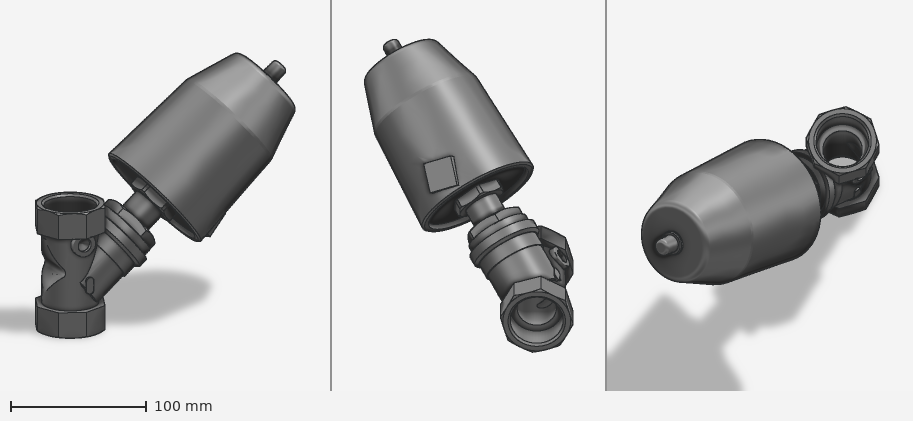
import cadquery as cq
import math


BODY_LENGTH = 97.0
END_LENGTH = 20.0
END_ACROSS_FLATS = 50.0
END_SIDES = 8
END_CHAMFER_ANGLE = 30.0
PIPE_RADIUS = 21.1
BORE_RADIUS = 29.0 / 2
THREAD_RADIUS = 38.95 / 2
THREAD_DEPTH = 20.0
THREAD_CHAMFER = 1.7
THREAD_CHAMFER_ANGLE = 45.0

WAIST_DEPTH_Y = -12.4
WAIST_LOWER_Z = 29.8
WAIST_UPPER_Z = 72.3
WAIST_UPPER_START_Y = -21.0
WAIST_UPPER_RADIUS = 30.5
WAIST_ROOT_LOW_Z = 46.1
WAIST_ROOT_HIGH_Z = 52.4
WAIST_WALL = 1.0

LUG_RADIUS = 18.2 / 2
LUG_REACH = 24.0
LUG_FILLET = 0.5
LUG_Z = 71.2
LUG_HOLE_RADIUS = 5.3
LUG_HOLE_DEPTH = 3.0
DRILL_POINT_ANGLE = 118.0

PAD_Y = 4.9
PAD_Z = 38.6
PAD_LENGTH = 13.0
PAD_WIDTH = 6.2
PAD_REACH = 23.3

AXIS_Z = 32.2
AXIS_ELEVATION = 40.0

NECK_START = 3.5
NECK_STEP = 33.3
FLANGE_START = 44.0
FLANGE_END = 53.3
RING_END = 60.3
BONNET_HEX_END = 68.2
LOCKNUT_START = 85.2
HOUSING_START = 89.7
SHOULDER = 170.7
HOUSING_END = 211.7
COLLAR_END = 214.0
PIN_END = 227.0

NECK_RADIUS = 22.8
NECK_END_CHAMFER = 0.8
NECK_COLLAR_RADIUS = 24.0
FLANGE_RADIUS = 27.06
FLANGE_CHAMFER = 2.2
RING_RADIUS = 48.0 / 2
BONNET_ACROSS_FLATS = 41.0
BONNET_CORNER_RADIUS = BONNET_ACROSS_FLATS / math.sqrt(3)
STEM_RADIUS = 26.0 / 2
LOCKNUT_ACROSS_FLATS = 36.0
LOCKNUT_CORNER_RADIUS = 20.0
HEX_SIDES = 6
HEX_CHAMFER_ANGLE = 30.0

HOUSING_BASE_RADIUS = 46.83
HOUSING_RIM_RADIUS = 45.3
HOUSING_RIM_HEIGHT = 1.3
RECESS_MOUTH_RADIUS = 41.9
RECESS_FLOOR_RADIUS = 81.7 / 2
RECESS_DEPTH = 3.6
SHOULDER_RADIUS = 43.1
SHOULDER_BLEND = 9.0
HOUSING_TOP_RADIUS = 30.2
HOUSING_TOP_FILLET = 5.7

COLLAR_RADIUS = 18.2 / 2
COLLAR_CHAMFER = 0.8
PIN_BASE_RADIUS = 6.6
PIN_TIP_RADIUS = 6.1
PIN_TIP_FILLET = 2.8

PORT_POSITION = 107.0
PORT_SIDE = 22.3
PORT_ROTATION = 18.0
PORT_REACH = 49.4
PORT_ROOT = 42.0


def cylinder(radius, start, end):
    return cq.Workplane("XY").workplane(offset=start).circle(radius).extrude(end - start)


def chamfered_prism(sides, across_flats, length, corner_radius, chamfer_angle):
    """Regular prism on Z = 0 with its corners trimmed round and its top edge cone-chamfered."""
    corner = across_flats / 2 / math.cos(math.pi / sides)
    prism = cq.Workplane("XY").polygon(sides, 2 * corner).extrude(length)
    flat_radius = across_flats / 2
    drop = (corner_radius - flat_radius) * math.tan(math.radians(chamfer_angle))
    envelope = (
        cq.Workplane("XZ")
        .polyline(
            [
                (0, 0),
                (corner_radius, 0),
                (corner_radius, length - drop),
                (flat_radius, length),
                (0, length),
            ]
        )
        .close()
        .revolve(360, (0, 0), (0, 1))
    )
    return prism.intersect(envelope)


def body_end():
    """Octagonal end standing on Z = 0 with its chamfered outer face on top."""
    corner_radius = END_ACROSS_FLATS / 2 / math.cos(math.pi / END_SIDES)
    return chamfered_prism(END_SIDES, END_ACROSS_FLATS, END_LENGTH, corner_radius, END_CHAMFER_ANGLE)


def waist_outline():
    """Outline of the hollow in the -Y side: two convex flanks and a rounded root."""
    outside_y = -2 * PIPE_RADIUS

    def lower_y(z):
        return -math.sqrt(PIPE_RADIUS**2 - (z - WAIST_LOWER_Z) ** 2)

    def upper_y(z):
        centre_y = WAIST_UPPER_START_Y + WAIST_UPPER_RADIUS
        return centre_y - math.sqrt(WAIST_UPPER_RADIUS**2 - (WAIST_UPPER_Z - z) ** 2)

    lower_mid_z = (WAIST_LOWER_Z + WAIST_ROOT_LOW_Z) / 2
    root_mid_z = (WAIST_ROOT_LOW_Z + WAIST_ROOT_HIGH_Z) / 2
    upper_mid_z = (WAIST_ROOT_HIGH_Z + WAIST_UPPER_Z) / 2
    return (
        cq.Workplane("YZ")
        .moveTo(outside_y, WAIST_LOWER_Z)
        .lineTo(lower_y(WAIST_LOWER_Z), WAIST_LOWER_Z)
        .threePointArc(
            (lower_y(lower_mid_z), lower_mid_z),
            (lower_y(WAIST_ROOT_LOW_Z), WAIST_ROOT_LOW_Z),
        )
        .threePointArc(
            (WAIST_DEPTH_Y, root_mid_z),
            (upper_y(WAIST_ROOT_HIGH_Z), WAIST_ROOT_HIGH_Z),
        )
        .threePointArc(
            (upper_y(upper_mid_z), upper_mid_z),
            (WAIST_UPPER_START_Y, WAIST_UPPER_Z),
        )
        .lineTo(outside_y, WAIST_UPPER_Z)
        .close()
    )


def waist_prism(wall=0.0):
    """Waist hollow as a prism along X, enlarged by a wall thickness when one is given."""
    outline = waist_outline()
    if wall:
        outline = outline.offset2D(wall)
    return outline.extrude(PIPE_RADIUS, both=True)


def lug(side):
    boss = cq.Workplane("YZ").center(0, LUG_Z).circle(LUG_RADIUS).extrude(side * LUG_REACH)
    outer_face = ">X" if side > 0 else "<X"
    return boss.faces(outer_face).edges().fillet(LUG_FILLET)


def lug_hole(side):
    """Blind hole with a drill point, entering from the face of one lug."""
    point_depth = LUG_HOLE_RADIUS / math.tan(math.radians(DRILL_POINT_ANGLE / 2))
    floor = LUG_REACH - LUG_HOLE_DEPTH
    return (
        cq.Workplane("XZ")
        .polyline(
            [
                (side * (floor - point_depth), LUG_Z),
                (side * floor, LUG_Z + LUG_HOLE_RADIUS),
                (side * LUG_REACH, LUG_Z + LUG_HOLE_RADIUS),
                (side * LUG_REACH, LUG_Z),
            ]
        )
        .close()
        .revolve(360, (0, LUG_Z), (1, LUG_Z))
    )


def oval_pad(side):
    return (
        cq.Workplane("YZ")
        .center(PAD_Y, PAD_Z)
        .slot2D(PAD_LENGTH, PAD_WIDTH, 90)
        .extrude(side * PAD_REACH)
    )


def passage():
    """Straight bore, kept clear of the waist, with a threaded socket at each end."""
    bore = cylinder(BORE_RADIUS, 0, BODY_LENGTH).cut(waist_prism(WAIST_WALL))
    socket = (
        cq.Workplane("XY")
        .circle(THREAD_RADIUS)
        .extrude(THREAD_DEPTH)
        .union(
            cq.Workplane("XY")
            .circle(THREAD_RADIUS + THREAD_CHAMFER)
            .extrude(THREAD_CHAMFER, taper=THREAD_CHAMFER_ANGLE)
        )
    )
    upper_socket = socket.mirror("XY").translate((0, 0, BODY_LENGTH))
    return bore.union(socket).union(upper_socket)


def neck_and_bonnet():
    """Branch neck, clamping flange and bonnet nut, along +Z from the pipe axis."""
    turned = (
        cq.Workplane("YZ")
        .polyline(
            [
                (0, NECK_START),
                (NECK_RADIUS - NECK_END_CHAMFER, NECK_START),
                (NECK_RADIUS, NECK_START + NECK_END_CHAMFER),
                (NECK_RADIUS, NECK_STEP),
                (NECK_COLLAR_RADIUS, NECK_STEP),
                (NECK_COLLAR_RADIUS, FLANGE_START),
                (FLANGE_RADIUS - FLANGE_CHAMFER, FLANGE_START),
                (FLANGE_RADIUS, FLANGE_START + FLANGE_CHAMFER),
                (FLANGE_RADIUS, FLANGE_END),
                (RING_RADIUS, FLANGE_END),
                (RING_RADIUS, RING_END),
                (0, RING_END),
            ]
        )
        .close()
        .revolve(360, (0, 0), (0, 1))
    )
    nut = chamfered_prism(
        HEX_SIDES,
        BONNET_ACROSS_FLATS,
        BONNET_HEX_END - RING_END,
        BONNET_CORNER_RADIUS,
        HEX_CHAMFER_ANGLE,
    )
    return turned.union(nut.translate((0, 0, RING_END)))


def stem_and_locknut():
    recess_floor = HOUSING_START + RECESS_DEPTH
    stem = cylinder(STEM_RADIUS, RING_END, recess_floor)
    locknut = chamfered_prism(
        HEX_SIDES,
        LOCKNUT_ACROSS_FLATS,
        recess_floor - LOCKNUT_START,
        LOCKNUT_CORNER_RADIUS,
        HEX_CHAMFER_ANGLE,
    )
    return stem.union(locknut.mirror("XY").translate((0, 0, recess_floor)))


def housing():
    """Two-cone actuator housing with a blended shoulder, rounded top and recessed base."""
    shell = (
        cq.Workplane("YZ")
        .polyline(
            [
                (0, HOUSING_START),
                (HOUSING_RIM_RADIUS, HOUSING_START),
                (HOUSING_BASE_RADIUS, HOUSING_START + HOUSING_RIM_HEIGHT),
                (SHOULDER_RADIUS, SHOULDER),
                (HOUSING_TOP_RADIUS, HOUSING_END),
                (0, HOUSING_END),
            ]
        )
        .close()
        .revolve(360, (0, 0), (0, 1))
    )
    shoulder_edge = cq.selectors.BoxSelector(
        (-HOUSING_BASE_RADIUS, -HOUSING_BASE_RADIUS, (HOUSING_START + SHOULDER) / 2),
        (HOUSING_BASE_RADIUS, HOUSING_BASE_RADIUS, (SHOULDER + HOUSING_END) / 2),
        boundingbox=True,
    )
    shell = shell.edges(">Z").fillet(HOUSING_TOP_FILLET)
    shell = shell.edges(shoulder_edge).fillet(SHOULDER_BLEND)
    recess = (
        cq.Workplane("XY")
        .workplane(offset=HOUSING_START)
        .circle(RECESS_MOUTH_RADIUS)
        .workplane(offset=RECESS_DEPTH)
        .circle(RECESS_FLOOR_RADIUS)
        .loft(ruled=True)
    )
    return shell.cut(recess)


def indicator_pin():
    collar = cylinder(COLLAR_RADIUS, HOUSING_END, COLLAR_END).edges(">Z").chamfer(COLLAR_CHAMFER)
    pin = (
        cq.Workplane("YZ")
        .polyline(
            [
                (0, HOUSING_END),
                (PIN_BASE_RADIUS, HOUSING_END),
                (PIN_TIP_RADIUS, PIN_END),
                (0, PIN_END),
            ]
        )
        .close()
        .revolve(360, (0, 0), (0, 1))
        .edges(">Z")
        .fillet(PIN_TIP_FILLET)
    )
    return collar.union(pin)


def port_block():
    """Square block whose outer face looks away from the pipe, on the lower side."""
    return (
        cq.Workplane("XZ", origin=(0, PORT_ROOT, 0))
        .center(0, PORT_POSITION)
        .transformed(rotate=(0, 0, PORT_ROTATION))
        .rect(PORT_SIDE, PORT_SIDE)
        .extrude(PORT_ROOT - PORT_REACH)
    )


def inclined(part):
    """Tilt a part built along +Z towards +Y, onto the inclined axis."""
    return part.rotate((0, 0, 0), (1, 0, 0), AXIS_ELEVATION - 90).translate((0, 0, AXIS_Z))


body = cylinder(PIPE_RADIUS, 0, BODY_LENGTH).cut(waist_prism())
body = body.union(body_end().translate((0, 0, BODY_LENGTH - END_LENGTH)))
body = body.union(body_end().mirror("XY").translate((0, 0, END_LENGTH)))
body = body.union(inclined(neck_and_bonnet()))
for side in (-1, 1):
    body = body.union(lug(side)).union(oval_pad(side))
body = body.cut(passage())
for side in (-1, 1):
    body = body.cut(lug_hole(side))

actuator = stem_and_locknut().union(housing()).union(indicator_pin()).union(port_block())
result = body.union(inclined(actuator))